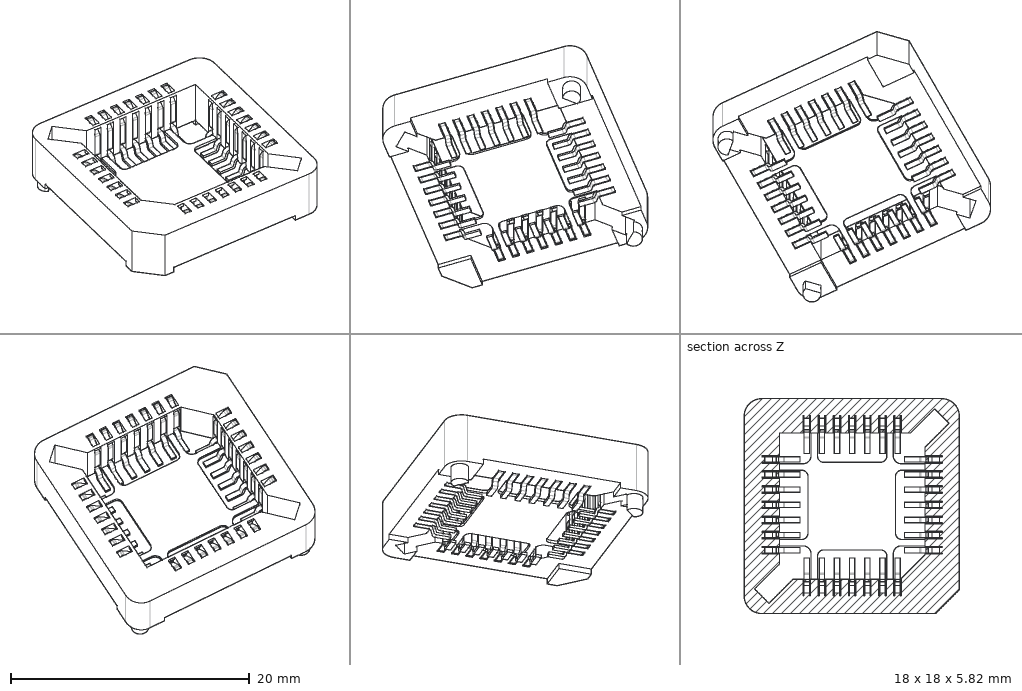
import cadquery as cq
import math

width = 18.03
depth = 18.01
height = 4.4
corner_radius = 1.5
key_chamfer = 2.0
recess_height = 0.49

center_offset = 0.04
opening_x = 12.15
opening_y = 12.22
opening_chamfer = 2.04
slot_width = 1.7
slot_length = 21.3

peg_diameter = 1.5
peg_length = 1.42
peg_offset = 7.75

contacts_per_row = 7
row_span = 7.6
pitch = row_span / (contacts_per_row - 1)
side_row_shift = 0.1
channel_width = 0.61
channel_inner = 6.36
channel_outer = 7.54
bridge_height = 0.3

contact_width = 0.47
contact_thickness = 0.23
bend_radius = 0.13
riser_bend_radius = 0.36
foot_tip = 4.36
foot_bend = 5.75
riser_top = 5.95
leaf_radius = 6.25
hook_start = 7.2
hook_drop = 0.04
knee_height = 3.32
leaf_bottom = 1.26
leaf_end_radius = 6.6
leaf_end_height = 0.95

floor_size = 7.35
floor_thickness = 0.25
rib_width = 0.55
side_window_radius = 0.5
corner_window_radius = 0.65
rib_offset = (contacts_per_row - 2) / 2 * pitch


def box(size_x, size_y, bottom, top):
    return cq.Workplane("XY").workplane(offset=bottom).rect(size_x, size_y).extrude(top - bottom)


def make_frame():
    frame = box(width, depth, 0, height)
    frame = frame.edges("|Z and (<X or >Y)").fillet(corner_radius)
    frame = frame.edges("|Z").edges(">(1, -1, 0)").chamfer(key_chamfer)
    opening = box(opening_x, opening_y, 0, height).translate((center_offset, 0, 0))
    opening = opening.edges("|Z").edges(">(1, -1, 0)").chamfer(opening_chamfer)
    slots = box(slot_length, slot_width, 0, height).rotate((0, 0, 0), (0, 0, 1), 45)
    frame = frame.cut(opening).cut(slots)
    under_x = box(width, opening_y, 0, recess_height)
    under_y = box(opening_x, depth, 0, recess_height).translate((center_offset, 0, 0))
    return frame.cut(under_x).cut(under_y)


def make_peg(side):
    """Peg under a -X corner, flattened in line with the end of the extraction slot."""
    peg = cq.Workplane("XY").circle(peg_diameter / 2).extrude(-peg_length)
    flat_distance = peg_offset * math.sqrt(2) - slot_length / 2
    flat = box(peg_diameter, peg_diameter, -peg_length, 0)
    flat = flat.translate((flat_distance + peg_diameter / 2, 0, 0))
    peg = peg.cut(flat).rotate((0, 0, 0), (0, 0, 1), -45 * side)
    return peg.translate((-peg_offset, side * peg_offset, 0))


def make_floor():
    """Central pad with two pairs of crossing ribs; the windows between them are cut out."""
    bottom = recess_height
    top = bottom + floor_thickness
    floor = box(opening_x, opening_y, bottom, top).translate((center_offset, 0, 0))
    span = 2 * rib_offset - rib_width
    reach = width / 2
    side_window = box(reach, span, bottom, top).edges("|Z").fillet(side_window_radius)
    corner_window = box(reach, reach, bottom, top).edges("|Z").fillet(corner_window_radius)
    side_middle = (floor_size + reach) / 2
    corner_middle = rib_offset + (rib_width + reach) / 2
    for side in (-1, 1):
        floor = floor.cut(side_window.translate((side * side_middle, side_row_shift, 0)))
        end_window = side_window.rotate((0, 0, 0), (0, 0, 1), 90)
        floor = floor.cut(end_window.translate((center_offset, side * side_middle, 0)))
        for end in (-1, 1):
            place = (center_offset + side * corner_middle, side_row_shift + end * corner_middle, 0)
            floor = floor.cut(corner_window.translate(place))
    return floor


def make_channel():
    """Contact channel on the +X wall, open to the top face and to the opening."""
    slot_depth = channel_outer - channel_inner
    slot = box(slot_depth, channel_width, recess_height, height)
    slot = slot.translate((channel_inner + slot_depth / 2, 0, 0))
    window_inner = opening_x / 2 - center_offset
    window_depth = channel_outer - window_inner
    window = box(window_depth, channel_width, recess_height, height - bridge_height)
    return slot.union(window.translate((window_inner + window_depth / 2, 0, 0)))


def make_contact():
    """Bent strip for the +X wall: foot, riser, base, back, hook over the top, spring leaf."""
    half = contact_thickness / 2
    base_height = recess_height + half
    back_radius = channel_outer - half
    hook_height = height - hook_drop - half
    corners = [
        (foot_bend, -half, bend_radius),
        (riser_top, base_height, riser_bend_radius),
        (back_radius, base_height, bend_radius),
        (back_radius, hook_height, bend_radius),
        (hook_start, hook_height, bend_radius),
        (leaf_radius, knee_height, bend_radius),
        (leaf_radius, leaf_bottom, bend_radius),
    ]
    middle_line = [(foot_tip, -half)]
    middle_line += [(radial, z) for radial, z, _ in corners]
    middle_line += [(leaf_end_radius, leaf_end_height)]
    path = cq.Wire.makePolygon([cq.Vector(radial, 0, z) for radial, z in middle_line])
    for number in range(len(corners), 0, -1):
        path = path.fillet(corners[number - 1][2], [path.Vertices()[number]])
    section = cq.Workplane("YZ", origin=(foot_tip, 0, -half)).rect(contact_width, contact_thickness)
    return section.sweep(cq.Workplane(path))


def place_rows(shape):
    """Copies of a +X wall shape at every contact place on the four walls."""
    row_centers = {
        0: (center_offset, side_row_shift),
        90: (center_offset, center_offset),
        180: (center_offset, side_row_shift),
        270: (center_offset, center_offset),
    }
    copies = []
    for angle, (center_x, center_y) in row_centers.items():
        for index in range(contacts_per_row):
            along = index * pitch - row_span / 2
            copy = shape.translate((0, along, 0)).rotate((0, 0, 0), (0, 0, 1), angle)
            copies.append(copy.translate((center_x, center_y, 0)).val())
    return copies


housing = make_frame().union(make_floor())
for side in (-1, 1):
    housing = housing.union(make_peg(side))
body = housing.val().cut(*place_rows(make_channel()))
body = body.fuse(*place_rows(make_contact()))
result = cq.Workplane(body.clean())